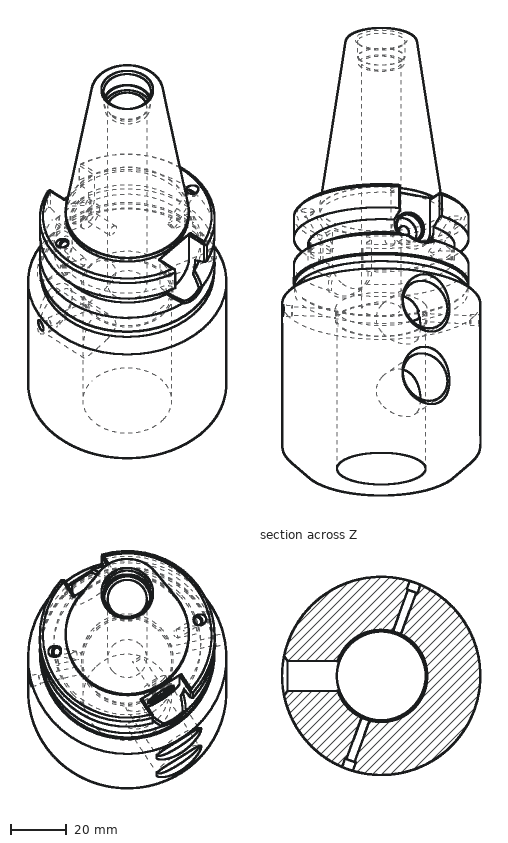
import cadquery as cq
import math

TOTAL_HEIGHT = 165.4
TAPER_BASE_HEIGHT = 100.5
LAND_BOTTOM = 100.0
FLANGE_TOP = 98.0
GROOVE_UPPER_LIP = 88.7
GROOVE_TOP = 86.0
GROOVE_BOTTOM = 81.0
GROOVE_LOWER_LIP = 78.4
RING_BEVEL_TOP = 71.1
RING_BEVEL_BOTTOM = 70.6
NECK_BOTTOM = 68.0

TAPER_BASE_RADIUS = 44.5 / 2
TAPER_RATE = 7 / 48
TAPER_TOP_FILLET = 1.5
COLLAR_RADIUS = 44.2 / 2
FLANGE_RADIUS = 63.0 / 2
FLANGE_RIM_CHAMFER = 1.2
GROOVE_RADIUS = 26.5
NECK_RADIUS = 62.5 / 2
BODY_RADIUS = 71.5 / 2
NOSE_CHAMFER = 8.1
NOSE_ROUNDING = 2.0

TOOL_BORE_RADIUS = 32.0 / 2
RELIEF_RADIUS = 33.0 / 2
RELIEF_BOTTOM = 57.2
RELIEF_TOP = 61.5
DRAWBAR_RADIUS = 14.0 / 2
PILOT_RADIUS = 16.5 / 2
PILOT_DEPTH = 9.1
ENTRY_RADIUS = 17.0 / 2
ENTRY_DEPTH = 6.6
ENTRY_CHAMFER = 0.8

CLAMP_HEIGHTS = (23.8, 51.8)
CLAMP_RADIUS = 18.0 / 2
CLAMP_MOUTH_RADIUS = 21.8 / 2

SLOT_WIDTH = 16.0
SLOT_FLOOR = 22.5
SLOT_CENTER_HEIGHT = 85.2
SLOT_CHAMFER = 0.7
SEAT_HEIGHT = 85.5
SEAT_RADIUS = 10.1 / 2
SEAT_CHAMFER = 0.5
SEAT_DEPTH = 5.0
VENT_RADIUS = 4.0 / 2

COOLANT_ANGLES = (70, 250)
COOLANT_RADIUS = 3.0 / 2
MOUTH_RADIUS = 4.0 / 2
FEED_DISTANCE = 26.8
FEED_TILT = 30
FEED_MOUTH_DEPTH = 1.7
GROOVE_PORT_HEIGHT = 83.5
GROOVE_MOUTH_DEPTH = 0.8
BODY_PORT_HEIGHT = 59.0
BODY_MOUTH_DEPTH = 3.3

CLEARANCE = 1.7


def cylinder(radius, length, start, direction):
    solid = cq.Solid.makeCylinder(radius, length, cq.Vector(*start), cq.Vector(*direction))
    return cq.Workplane(solid)


def revolve_about_z(outline):
    return cq.Workplane("XZ").polyline(outline).close().revolve(360, (0, 0), (0, 1))


def make_outside():
    taper_top_radius = TAPER_BASE_RADIUS - (TOTAL_HEIGHT - TAPER_BASE_HEIGHT) * TAPER_RATE
    outline = [
        (0, 0),
        (BODY_RADIUS - NOSE_CHAMFER, 0),
        (BODY_RADIUS, NOSE_CHAMFER),
        (BODY_RADIUS, NECK_BOTTOM - (BODY_RADIUS - NECK_RADIUS)),
        (NECK_RADIUS, NECK_BOTTOM),
        (NECK_RADIUS, RING_BEVEL_BOTTOM),
        (FLANGE_RADIUS, RING_BEVEL_TOP),
        (FLANGE_RADIUS, GROOVE_LOWER_LIP),
        (GROOVE_RADIUS, GROOVE_BOTTOM),
        (GROOVE_RADIUS, GROOVE_TOP),
        (FLANGE_RADIUS, GROOVE_UPPER_LIP),
        (FLANGE_RADIUS, FLANGE_TOP - FLANGE_RIM_CHAMFER),
        (FLANGE_RADIUS - FLANGE_RIM_CHAMFER, FLANGE_TOP),
        (COLLAR_RADIUS, FLANGE_TOP),
        (COLLAR_RADIUS, LAND_BOTTOM),
        (TAPER_BASE_RADIUS, LAND_BOTTOM),
        (TAPER_BASE_RADIUS, TAPER_BASE_HEIGHT),
        (taper_top_radius, TOTAL_HEIGHT),
        (0, TOTAL_HEIGHT),
    ]
    solid = revolve_about_z(outline)
    solid = solid.faces(">Z").edges().fillet(TAPER_TOP_FILLET)
    reach = BODY_RADIUS + CLEARANCE
    nose = cq.selectors.BoxSelector(
        (-reach, -reach, -CLEARANCE),
        (reach, reach, NOSE_CHAMFER + CLEARANCE),
        boundingbox=True,
    )
    return solid.edges(nose).edges("%CIRCLE").fillet(NOSE_ROUNDING)


def make_bores():
    pilot_bottom = TOTAL_HEIGHT - PILOT_DEPTH
    entry_bottom = TOTAL_HEIGHT - ENTRY_DEPTH
    outline = [
        (0, 0),
        (TOOL_BORE_RADIUS, 0),
        (TOOL_BORE_RADIUS, RELIEF_BOTTOM),
        (RELIEF_RADIUS, RELIEF_BOTTOM),
        (RELIEF_RADIUS, RELIEF_TOP),
        (DRAWBAR_RADIUS, RELIEF_TOP),
        (DRAWBAR_RADIUS, pilot_bottom),
        (PILOT_RADIUS, pilot_bottom),
        (PILOT_RADIUS, entry_bottom),
        (ENTRY_RADIUS, entry_bottom),
        (ENTRY_RADIUS, TOTAL_HEIGHT - ENTRY_CHAMFER),
        (ENTRY_RADIUS + ENTRY_CHAMFER, TOTAL_HEIGHT),
        (0, TOTAL_HEIGHT),
    ]
    return revolve_about_z(outline)


def make_slot(side):
    """Slot with a flat floor and a round lower end, open at the flange top."""
    height = FLANGE_TOP - SLOT_CENTER_HEIGHT
    length = BODY_RADIUS - SLOT_FLOOR
    straight = cq.Workplane().box(length, SLOT_WIDTH, height)
    straight = straight.translate((side * (SLOT_FLOOR + length / 2), 0, SLOT_CENTER_HEIGHT + height / 2))
    round_end = cylinder(SLOT_WIDTH / 2, length, (side * SLOT_FLOOR, 0, SLOT_CENTER_HEIGHT), (side, 0, 0))
    return straight.union(round_end)


def make_slot_top_bevel(side):
    """Bevel along the slot edges on the flange top."""
    half_width = SLOT_WIDTH / 2
    wide = half_width + SLOT_CHAMFER
    outline = [
        (-wide, FLANGE_TOP),
        (wide, FLANGE_TOP),
        (half_width, FLANGE_TOP - SLOT_CHAMFER),
        (-half_width, FLANGE_TOP - SLOT_CHAMFER),
    ]
    bevel = cq.Workplane("YZ").polyline(outline).close().extrude(side * (BODY_RADIUS - SLOT_FLOOR))
    return bevel.translate((side * SLOT_FLOOR, 0, 0))


def make_slot_rim_bevel(side):
    """Bevel along the upright slot edges at the flange rim."""
    half_width = SLOT_WIDTH / 2
    wide = half_width + SLOT_CHAMFER
    rim = math.sqrt(FLANGE_RADIUS**2 - wide**2)
    outline = [
        (side * BODY_RADIUS, -wide),
        (side * rim, -wide),
        (side * (rim - SLOT_CHAMFER), -half_width),
        (side * (rim - SLOT_CHAMFER), half_width),
        (side * rim, wide),
        (side * BODY_RADIUS, wide),
    ]
    bevel = cq.Workplane("XY").polyline(outline).close().extrude(FLANGE_TOP - SLOT_CENTER_HEIGHT)
    return bevel.translate((0, 0, SLOT_CENTER_HEIGHT))


def cut_drive_slot(body, side):
    body = body.cut(make_slot(side))
    round_end_edges = cq.selectors.BoxSelector(
        (side * GROOVE_RADIUS, -SLOT_WIDTH / 2, SLOT_CENTER_HEIGHT - SLOT_WIDTH),
        (side * BODY_RADIUS, SLOT_WIDTH / 2, GROOVE_BOTTOM),
    )
    body = body.edges(round_end_edges).edges("not %CIRCLE").chamfer(SLOT_CHAMFER)
    return body.cut(make_slot_top_bevel(side)).cut(make_slot_rim_bevel(side))


def make_clamp_hole(height):
    """Screw hole from the -X side into the tool bore, with a 45 degree mouth."""
    mouth_depth = CLAMP_MOUTH_RADIUS - CLAMP_RADIUS
    outline = [
        (0, 0),
        (-BODY_RADIUS, 0),
        (-BODY_RADIUS, CLAMP_MOUTH_RADIUS),
        (mouth_depth - BODY_RADIUS, CLAMP_RADIUS),
        (0, CLAMP_RADIUS),
    ]
    hole = cq.Workplane("XY").polyline(outline).close().revolve(360, (0, 0), (1, 0))
    return hole.translate((0, 0, height))


def make_seat():
    """Shallow round seat in the -X slot floor with a vent hole into the drawbar bore."""
    start = (-SLOT_FLOOR, 0, SEAT_HEIGHT)
    seat = cylinder(SEAT_RADIUS, SEAT_DEPTH, start, (1, 0, 0))
    mouth = cylinder(SEAT_RADIUS + SEAT_CHAMFER, 2 * SEAT_CHAMFER, start, (1, 0, 0))
    seat = seat.union(mouth.faces(">X").edges().chamfer(SEAT_CHAMFER))
    return seat.union(cylinder(VENT_RADIUS, SLOT_FLOOR, start, (1, 0, 0)))


def make_stepped_hole(entry, direction, depth, mouth_depth):
    """Narrow hole with a wider mouth, running from the entry point along a unit direction."""
    start = [place - CLEARANCE * step for place, step in zip(entry, direction)]
    narrow = cylinder(COOLANT_RADIUS, depth + CLEARANCE, start, direction)
    return narrow.union(cylinder(MOUTH_RADIUS, mouth_depth + CLEARANCE, start, direction))


def make_coolant_holes(angle):
    """Tilted feed from the flange top to the groove port, and a port from the body into the relief."""
    tilt = math.radians(FEED_TILT)
    drop = FLANGE_TOP - GROOVE_PORT_HEIGHT
    meeting_radius = FEED_DISTANCE - drop * math.tan(tilt)
    inward = (-1, 0, 0)
    feed = make_stepped_hole(
        (FEED_DISTANCE, 0, FLANGE_TOP),
        (-math.sin(tilt), 0, -math.cos(tilt)),
        drop / math.cos(tilt),
        FEED_MOUTH_DEPTH,
    )
    groove_port = make_stepped_hole(
        (GROOVE_RADIUS, 0, GROOVE_PORT_HEIGHT), inward, GROOVE_RADIUS - meeting_radius, GROOVE_MOUTH_DEPTH
    )
    body_port = make_stepped_hole(
        (BODY_RADIUS, 0, BODY_PORT_HEIGHT), inward, BODY_RADIUS - TOOL_BORE_RADIUS, BODY_MOUTH_DEPTH
    )
    return feed.union(groove_port).union(body_port).rotate((0, 0, 0), (0, 0, 1), angle)


result = make_outside()
for slot_side in (-1, 1):
    result = cut_drive_slot(result, slot_side)
result = result.cut(make_bores()).cut(make_seat())
for clamp_height in CLAMP_HEIGHTS:
    result = result.cut(make_clamp_hole(clamp_height))
for coolant_angle in COOLANT_ANGLES:
    result = result.cut(make_coolant_holes(coolant_angle))